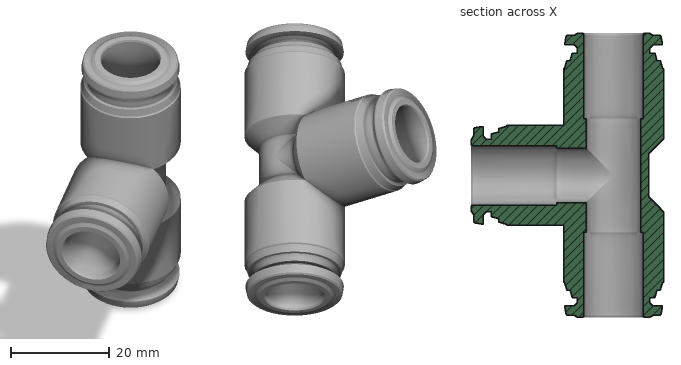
import cadquery as cq

arm_length = 29.0

body_radius = 20.5 / 2
core_radius = 7.25
body_start = 7.4
body_end = 21.9
body_edge = 0.25

step_end = 23.45
first_step_base_radius = body_radius - body_edge
first_step_tip_radius = 9.55
cap_end = 24.95
cap_base_radius = 8.9
cap_tip_radius = 8.45

neck_radius = 14.9 / 2
flare_start = 25.9
flare_radius = 8.0
collar_start = 26.5
collar_radius = 20.0 / 2
collar_land = 0.3
collar_end = 28.55
collar_tip_radius = 9.75
collar_edge = 0.3
rim_base_radius = 8.05
rim_tip_radius = 7.3

passage_radius = 11.0 / 2
socket_radius = 12.0 / 2
socket_depth = 17.4
mouth_depth = 0.4
mouth_widening = 0.2


def revolve_about_z(points):
    """Revolve a closed (radius, height) outline about the Z axis."""
    outline = cq.Workplane("XZ").polyline(points).close()
    return outline.revolve(360, (0, 0, 0), (0, 1, 0))


def make_arm():
    """Solid arm along +Z, starting at the tee centre."""
    shoulder_start = body_start - (body_radius - core_radius)
    return revolve_about_z([
        (0, 0),
        (core_radius, 0),
        (core_radius, shoulder_start),
        (body_radius, body_start),
        (body_radius, body_end - body_edge),
        (first_step_base_radius, body_end),
        (first_step_tip_radius, step_end),
        (cap_base_radius, step_end),
        (cap_tip_radius, cap_end),
        (neck_radius, cap_end),
        (neck_radius, flare_start),
        (flare_radius, collar_start),
        (collar_radius, collar_start),
        (collar_radius, collar_start + collar_land),
        (collar_tip_radius, collar_end - collar_edge),
        (collar_tip_radius - collar_edge, collar_end),
        (rim_base_radius, collar_end),
        (rim_tip_radius, arm_length),
        (0, arm_length),
    ])


def make_bore():
    """Flow passage and tube socket of the +Z arm."""
    socket_floor = arm_length - socket_depth
    return revolve_about_z([
        (0, 0),
        (passage_radius, 0),
        (passage_radius, socket_floor),
        (socket_radius, socket_floor),
        (socket_radius, arm_length - mouth_depth),
        (socket_radius + mouth_widening, arm_length),
        (0, arm_length),
    ])


def place_in_tee(shape):
    """Join copies of a +Z shape pointing to +Z, -Z and -Y."""
    tee = shape
    for angle in (90, 180):
        tee = tee.union(shape.rotate((0, 0, 0), (1, 0, 0), angle))
    return tee


result = place_in_tee(make_arm()).cut(place_in_tee(make_bore()))